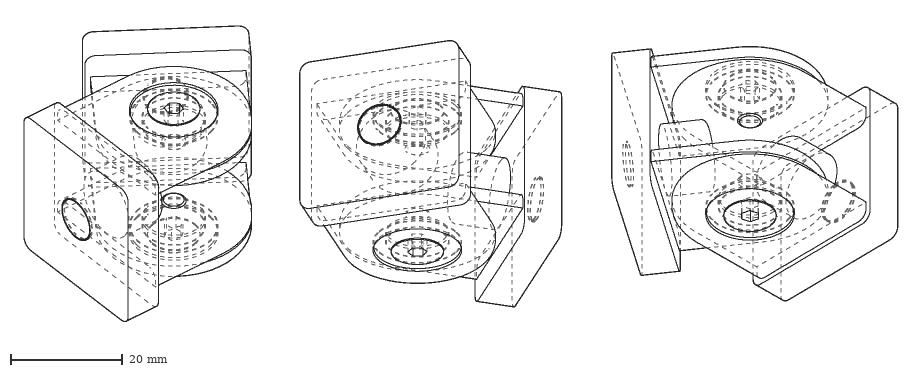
import cadquery as cq
import math


overall_length = 47.7
swing_angle = 35.0
swing = math.radians(swing_angle)

plate_size = 30.0
plate_thickness = 7.0
plate_corner_radius = 2.0
pivot_to_plate = (overall_length - plate_size / 2 * math.cos(swing)) / (1 + math.sin(swing))
plate_inner_y = plate_thickness - pivot_to_plate

barrel_radius = 6.55
barrel_length = 8.0
barrel_fillet = 0.8
groove_outer_radius = 4.1
groove_width = 0.2
groove_depth = 0.5

lug_radius = 14.0
lug_fillet = 2.0
socket_lug_bottom = 10.7
socket_lug_top = 14.0
pivot_lug_bottom = -10.2
pivot_lug_top = -6.7

clearance = 0.15
shank_radius = 5.6
head_radius = 7.8
head_seat = 12.35
head_edge = 13.55
dome_radius = 32.9
cap_radius = 4.7
cap_height = 14.4
hex_across_flats = 3.0
hex_depth = 2.85
hex_turn = -21.0
tip_radius = 2.25
tip_end_radius = 1.85
tip_height = 0.25


def mounting_plate():
    plate = (
        cq.Workplane("XZ", origin=(0, -pivot_to_plate, 0))
        .rect(plate_size, plate_size)
        .extrude(-plate_thickness)
        .edges("|Y")
        .fillet(plate_corner_radius)
    )
    barrel = (
        cq.Workplane("XZ", origin=(0, plate_inner_y, 0))
        .circle(barrel_radius)
        .extrude(-barrel_length)
        .faces(">Y")
        .edges()
        .fillet(barrel_fillet)
    )
    groove = (
        cq.Workplane("XZ", origin=(0, -pivot_to_plate, 0))
        .circle(groove_outer_radius)
        .circle(groove_outer_radius - groove_width)
        .extrude(-groove_depth)
    )
    return plate.union(barrel).cut(groove)


def lug(bottom, top):
    """Round-ended lug standing on the plate, with its upper outline rounded."""
    return (
        cq.Workplane("XY", origin=(0, 0, bottom))
        .moveTo(-lug_radius, plate_inner_y)
        .lineTo(-lug_radius, 0)
        .threePointArc((0, lug_radius), (lug_radius, 0))
        .lineTo(lug_radius, plate_inner_y)
        .close()
        .extrude(top - bottom)
        .faces(">Z")
        .edges("not <Y")
        .fillet(lug_fillet)
    )


def socket():
    """Stepped bore that takes the other half's shank and head."""
    bore_height = socket_lug_top - socket_lug_bottom
    shank_bore = cq.Workplane("XY", origin=(0, 0, socket_lug_bottom)).circle(shank_radius + clearance)
    head_bore = cq.Workplane("XY", origin=(0, 0, head_seat)).circle(head_radius + clearance)
    return shank_bore.extrude(bore_height).union(head_bore.extrude(socket_lug_top - head_seat))


def dome_height(radius):
    """Distance of the domed head face from the mid plane at a given radius from the pivot axis."""
    edge_depth = math.sqrt(dome_radius**2 - head_radius**2)
    return head_edge + math.sqrt(dome_radius**2 - radius**2) - edge_depth


def pivot():
    """Turned pivot below its lug: shank, wide domed head, and raised flat cap."""
    dome_mid_radius = (head_radius + cap_radius) / 2
    dome_middle = (dome_mid_radius, -dome_height(dome_mid_radius))
    dome_end = (cap_radius, -dome_height(cap_radius))
    turned = (
        cq.Workplane("XZ")
        .moveTo(0, pivot_lug_bottom)
        .lineTo(shank_radius, pivot_lug_bottom)
        .lineTo(shank_radius, -head_seat)
        .lineTo(head_radius, -head_seat)
        .lineTo(head_radius, -head_edge)
        .threePointArc(dome_middle, dome_end)
        .lineTo(cap_radius, -cap_height)
        .lineTo(0, -cap_height)
        .close()
        .revolve(360, (0, 0, 0), (0, 1, 0))
    )
    hex_socket = (
        cq.Workplane("XY", origin=(0, 0, -cap_height))
        .polygon(6, hex_across_flats, circumscribed=True)
        .extrude(hex_depth)
        .rotate((0, 0, 0), (0, 0, 1), hex_turn)
    )
    return turned.cut(hex_socket)


def pivot_tip():
    """Low conical tip on the inner face of the pivot lug."""
    cone = cq.Solid.makeCone(tip_radius, tip_end_radius, tip_height, pnt=cq.Vector(0, 0, pivot_lug_top))
    return cq.Workplane(cone)


def hinge_half():
    socket_lug = lug(socket_lug_bottom, socket_lug_top).cut(socket())
    pivot_lug = lug(pivot_lug_bottom, pivot_lug_top).union(pivot()).union(pivot_tip())
    return mounting_plate().union(socket_lug).union(pivot_lug).solids()


fixed_half = hinge_half()

swung_half = (
    hinge_half()
    .rotate((0, 0, 0), (0, 1, 0), 180)
    .rotate((0, 0, 0), (0, 0, 1), -(90 + swing_angle))
)

result = cq.Compound.makeCompound([fixed_half.val(), swung_half.val()])